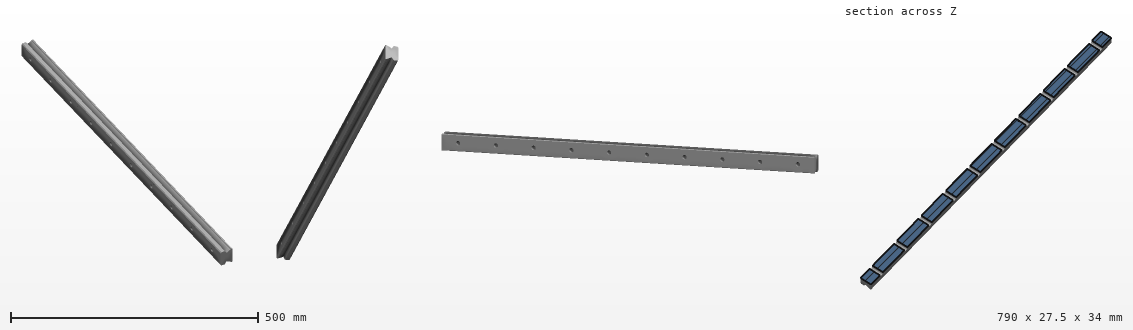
import cadquery as cq
import math

length = 790.0
rail_height = 27.5
rail_width = 34.0

base_chamfer = 2.0
head_chamfer = 1.0
base_height = 10.0
flank_angle = 30.0
wall_angle = 60.0

raceway_radius = 3.0
raceway_centre_y = 21.2
raceway_centre_offset = 1.0

hole_count = 10
hole_pitch = 80.0
hole_diameter = 9.0

half_width = rail_width / 2
raceway_centre_z = half_width + raceway_centre_offset
raceway_end_angle = math.acos(raceway_centre_offset / raceway_radius)


def raceway_point(angle):
    """(y, z) on the upper raceway, at an angle in radians from its deepest point."""
    return (
        raceway_centre_y + raceway_radius * math.sin(angle),
        raceway_centre_z - raceway_radius * math.cos(angle),
    )


def groove_bottom():
    """(y, z) where the upper groove's base-side wall meets its flank."""
    flank_slope = math.tan(math.radians(flank_angle))
    wall_slope = math.tan(math.radians(wall_angle))
    flank_end_y, flank_end_z = raceway_point(0)
    flank_depth_at_base = half_width - flank_end_z + flank_slope * (flank_end_y - base_height)
    depth = flank_depth_at_base / (1 + flank_slope / wall_slope)
    return base_height + depth / wall_slope, half_width - depth


def half_section():
    """Upper half of the rail section, from the centre plane to the outline."""
    return (
        cq.Workplane("YZ")
        .moveTo(0, 0)
        .lineTo(0, half_width - base_chamfer)
        .lineTo(base_chamfer, half_width)
        .lineTo(base_height, half_width)
        .lineTo(*groove_bottom())
        .lineTo(*raceway_point(0))
        .threePointArc(raceway_point(raceway_end_angle / 2), raceway_point(raceway_end_angle))
        .lineTo(rail_height - head_chamfer, half_width)
        .lineTo(rail_height, half_width - head_chamfer)
        .lineTo(rail_height, 0)
        .close()
    )


def rail_body():
    """Rail with a V groove along each side, symmetric about the XY plane, extruded along X."""
    upper_half = half_section().extrude(length)
    return upper_half.union(upper_half.mirror("XY")).clean()


def mounting_holes():
    """Row of plain through holes along Y, centred on the rail length."""
    first_hole_x = (length - (hole_count - 1) * hole_pitch) / 2
    centres = [(first_hole_x + i * hole_pitch, 0) for i in range(hole_count)]
    plane = cq.Workplane("XZ", origin=(0, rail_height, 0))
    return plane.pushPoints(centres).circle(hole_diameter / 2).extrude(rail_height)


result = rail_body().cut(mounting_holes())